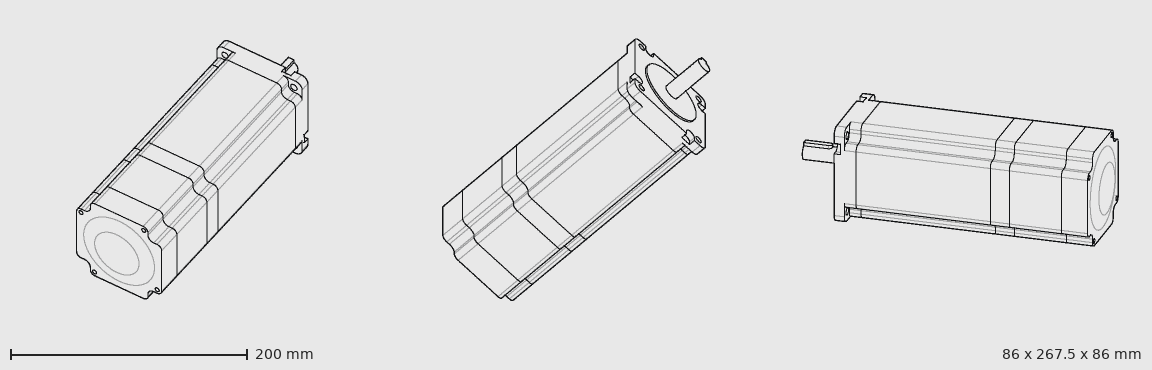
import cadquery as cq
import math

SIDE = 86.0
NOTCH_WIDTH = 14.0
NOTCH_OUTER_RADIUS = 4.8
NOTCH_INNER_RADIUS = 6.0

SHAFT_LENGTH = 39.5
PILOT_HEIGHT = 1.5
PLATE_THICKNESS = 9.0
FLANGE_LENGTH = 19.5
STATOR_LENGTH = 118.7
BRAKE_LENGTH = 16.8
ENCODER_LENGTH = 46.0
OVERALL_LENGTH = 267.5

PLATE_CORNER_RADIUS = 6.7
PILOT_DIAMETER = 60.5
MOUNT_HOLE_SPACING = 69.5
MOUNT_HOLE_DIAMETER = 6.5

BOLT_LONG_OFFSET = 38.5
BOLT_SHORT_OFFSET = 25.0
BOLT_HEAD_DIAMETER = 9.4
BOLT_HEAD_DEPTH = 5.5
BOLT_HOLE_DIAMETER = 4.0
BOLT_HOLE_DEPTH = 8.0

DOME_BASE_DIAMETER = 71.7
DOME_TOP_DIAMETER = 45.0
DOME_HEIGHT = 3.5

SHAFT_DIAMETER = 14.0
KEY_WIDTH = 6.0
KEY_LENGTH = 25.0
KEY_TOP = 9.4

STATOR_FRONT = -FLANGE_LENGTH
BRAKE_FRONT = STATOR_FRONT - STATOR_LENGTH
ENCODER_FRONT = BRAKE_FRONT - BRAKE_LENGTH
COVER_FRONT = ENCODER_FRONT - ENCODER_LENGTH
DOME_TIP = SHAFT_LENGTH - OVERALL_LENGTH
COVER_REAR = DOME_TIP + DOME_HEIGHT

QUARTER_TURNS = [0, 90, 180, 270]


def section_plane(y):
    """Plane across the motor at y: local x is X, local y is Z, extrusion goes to -Y."""
    return cq.Workplane("XZ", origin=(0, y, 0))


def notched_block(front, rear):
    """Square block with a rounded notch along each of its four corners."""
    length = front - rear
    notch_centre = (SIDE - NOTCH_WIDTH) / 2
    block = section_plane(front).rect(SIDE, SIDE).extrude(length)
    notches = (
        section_plane(front)
        .rect(2 * notch_centre, 2 * notch_centre, forConstruction=True)
        .vertices()
        .rect(NOTCH_WIDTH, NOTCH_WIDTH)
        .extrude(length)
    )
    block = block.cut(notches)
    inner_edges = cq.selectors.BoxSelector(
        (-notch_centre, rear, -notch_centre), (notch_centre, front, notch_centre)
    )
    block = block.edges("|Y").edges(inner_edges).fillet(NOTCH_INNER_RADIUS)
    outer_edges = block.faces("<X or >X or <Z or >Z").edges("|Y")
    return outer_edges.fillet(NOTCH_OUTER_RADIUS)


def bolt_points():
    """Bolt positions in X-Z."""
    radius = math.hypot(BOLT_LONG_OFFSET, BOLT_SHORT_OFFSET)
    first_angle = math.atan2(BOLT_LONG_OFFSET, BOLT_SHORT_OFFSET)
    angles = [first_angle + math.radians(turn) for turn in QUARTER_TURNS]
    return [(radius * math.cos(a), radius * math.sin(a)) for a in angles]


def bolt_head_recess():
    """Round-ended slot that lets one bolt head in from the front and opens through the top side."""
    opening_height = SIDE / 2 - BOLT_LONG_OFFSET
    head = (
        section_plane(0)
        .center(BOLT_SHORT_OFFSET, BOLT_LONG_OFFSET)
        .circle(BOLT_HEAD_DIAMETER / 2)
        .extrude(BOLT_HEAD_DEPTH)
    )
    opening = (
        section_plane(0)
        .center(BOLT_SHORT_OFFSET, BOLT_LONG_OFFSET + opening_height / 2)
        .rect(BOLT_HEAD_DIAMETER, opening_height)
        .extrude(BOLT_HEAD_DEPTH)
    )
    return head.union(opening)


def make_flange():
    """Mounting flange: square plate, notched rear part, pilot, holes and bolt head recesses."""
    plate = section_plane(0).rect(SIDE, SIDE).extrude(PLATE_THICKNESS)
    plate = plate.edges("|Y").fillet(PLATE_CORNER_RADIUS)
    flange = plate.union(notched_block(-PLATE_THICKNESS, STATOR_FRONT))
    pilot = section_plane(PILOT_HEIGHT).circle(PILOT_DIAMETER / 2).extrude(PILOT_HEIGHT)
    mount_holes = (
        section_plane(0)
        .rect(MOUNT_HOLE_SPACING, MOUNT_HOLE_SPACING, forConstruction=True)
        .vertices()
        .circle(MOUNT_HOLE_DIAMETER / 2)
        .extrude(PLATE_THICKNESS)
    )
    flange = flange.union(pilot).cut(mount_holes)
    for turn in QUARTER_TURNS:
        flange = flange.cut(bolt_head_recess().rotate((0, 0, 0), (0, 1, 0), turn))
    return flange


def make_cover():
    """Rear cover with a flat-topped conical dome and blind bolt holes."""
    cover = notched_block(COVER_FRONT, COVER_REAR)
    dome = cq.Solid.makeCone(
        DOME_BASE_DIAMETER / 2,
        DOME_TOP_DIAMETER / 2,
        DOME_HEIGHT,
        pnt=cq.Vector(0, COVER_REAR, 0),
        dir=cq.Vector(0, -1, 0),
    )
    bolt_holes = (
        section_plane(COVER_REAR + BOLT_HOLE_DEPTH)
        .pushPoints(bolt_points())
        .circle(BOLT_HOLE_DIAMETER / 2)
        .extrude(BOLT_HOLE_DEPTH)
    )
    return cover.union(cq.Workplane(dome)).cut(bolt_holes)


def make_shaft():
    """Output shaft standing on the pilot, with a raised key that is open at the tip."""
    shaft = section_plane(SHAFT_LENGTH).circle(SHAFT_DIAMETER / 2).extrude(SHAFT_LENGTH - PILOT_HEIGHT)
    half_width = KEY_WIDTH / 2
    arc_start = SHAFT_LENGTH - KEY_LENGTH + half_width
    key = (
        cq.Workplane("XY")
        .moveTo(-half_width, SHAFT_LENGTH)
        .lineTo(-half_width, arc_start)
        .threePointArc((0, SHAFT_LENGTH - KEY_LENGTH), (half_width, arc_start))
        .lineTo(half_width, SHAFT_LENGTH)
        .close()
        .extrude(KEY_TOP)
    )
    return shaft.union(key)


flange = make_flange()
stator = notched_block(STATOR_FRONT, BRAKE_FRONT)
brake = notched_block(BRAKE_FRONT, ENCODER_FRONT)
encoder = notched_block(ENCODER_FRONT, COVER_FRONT)
cover = make_cover()
shaft = make_shaft()

result = cq.Compound.makeCompound(
    [flange.val(), stator.val(), brake.val(), encoder.val(), cover.val(), shaft.val()]
)